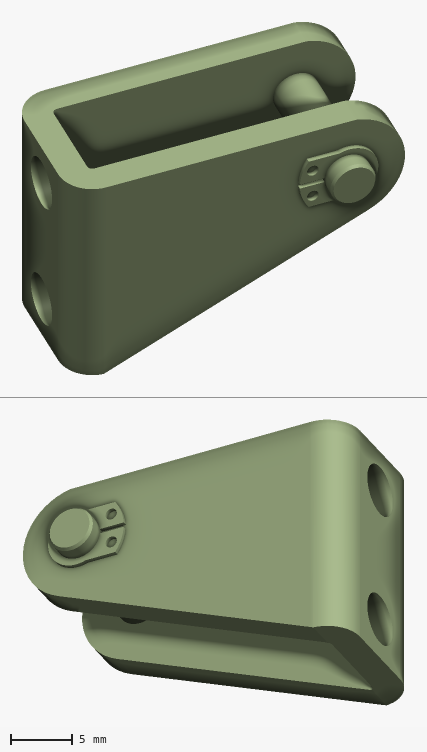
import cadquery as cq
import math

length = 29.3
height = 20.0
wall = 2.55
inside_width = 8.0
inner_bend_radius = 0.45
nose_radius = 5.27
pin_below_top = 5.2
slope_end_y = 2.75

mount_hole_diameter = 4.5
mount_hole_edge = 3.75

pin_diameter = 3.98
pin_length = 17.0
pin_chamfer_axial = 0.25
pin_chamfer_radial = 0.18

clip_thickness = 0.4
clip_ring_radius = 2.58
clip_ring_offset = 0.18
clip_lug_radius = 4.15
clip_lug_half_height = 2.43
clip_gap = 0.4
clip_hole_diameter = 1.03
clip_hole_y = 3.02
clip_hole_z = 1.35

width = inside_width + 2 * wall
outer_bend_radius = inner_bend_radius + wall
pin_y = length - nose_radius
pin_z = height - pin_below_top


def slope_meets_nose():
    """Point where the sloping lower edge runs tangent into the nose circle."""
    run = pin_y - slope_end_y
    centre_distance = math.hypot(run, pin_z)
    slope_angle = math.atan2(pin_z, run) - math.asin(nose_radius / centre_distance)
    y = pin_y + nose_radius * math.sin(slope_angle)
    z = pin_z - nose_radius * math.cos(slope_angle)
    return y, z


def make_bracket():
    """U-shaped strip trimmed to the side profile of the arms."""
    channel = (
        cq.Workplane("XY")
        .rect(width, 2 * length)
        .extrude(height)
        .translate((0, length, 0))
        .edges("|Z and <Y")
        .fillet(outer_bend_radius)
    )
    opening = (
        cq.Workplane("XY")
        .rect(inside_width, 2 * length)
        .extrude(height)
        .translate((0, length + wall, 0))
        .edges("|Z and <Y")
        .fillet(inner_bend_radius)
    )
    nose_top_y = pin_y + math.sqrt(nose_radius**2 - pin_below_top**2)
    side = (
        cq.Workplane("YZ")
        .lineTo(slope_end_y, 0)
        .lineTo(*slope_meets_nose())
        .threePointArc((length, pin_z), (nose_top_y, height))
        .lineTo(0, height)
        .close()
        .extrude(width / 2, both=True)
    )
    mount_holes = (
        cq.Workplane("XZ")
        .pushPoints([(0, mount_hole_edge), (0, height - mount_hole_edge)])
        .circle(mount_hole_diameter / 2)
        .extrude(-2 * wall)
    )
    return channel.cut(opening).intersect(side).cut(mount_holes)


def make_pin():
    """Clevis pin with chamfered ends, revolved about its axis."""
    radius = pin_diameter / 2
    end = pin_length / 2
    return (
        cq.Workplane("XY")
        .moveTo(-end, 0)
        .lineTo(-end, radius - pin_chamfer_radial)
        .lineTo(-end + pin_chamfer_axial, radius)
        .lineTo(end - pin_chamfer_axial, radius)
        .lineTo(end, radius - pin_chamfer_radial)
        .lineTo(end, 0)
        .close()
        .revolve(360, (0, 0, 0), (1, 0, 0))
        .translate((0, pin_y, pin_z))
    )


def make_clip():
    """Retaining ring on the +X arm, its two lugs pointing towards the web."""
    plane = cq.Workplane("YZ")
    ring = plane.center(clip_ring_offset, 0).circle(clip_ring_radius).extrude(clip_thickness)
    lug_band = (
        plane.center(-clip_lug_radius / 2, 0)
        .rect(clip_lug_radius, 2 * clip_lug_half_height)
        .extrude(clip_thickness)
    )
    lugs = plane.circle(clip_lug_radius).extrude(clip_thickness).intersect(lug_band)
    gap = (
        plane.center(-clip_lug_radius / 2, 0)
        .rect(clip_lug_radius, clip_gap)
        .extrude(clip_thickness)
    )
    plier_holes = (
        plane.pushPoints([(-clip_hole_y, clip_hole_z), (-clip_hole_y, -clip_hole_z)])
        .circle(clip_hole_diameter / 2)
        .extrude(clip_thickness)
    )
    clip = ring.union(lugs).cut(gap).cut(plier_holes)
    return clip.translate((width / 2, pin_y, pin_z))


clip = make_clip()
result = make_bracket().union(make_pin()).union(clip).union(clip.mirror("YZ"))